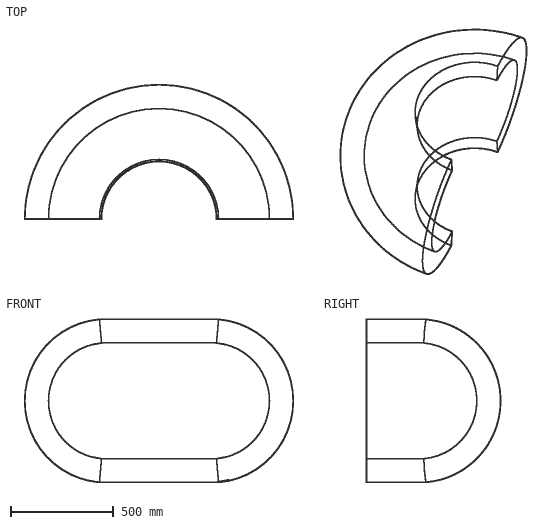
import cadquery as cq
import math

outer_reach = 653.28
height = 793.85
wall = 116.0
opening_tilt = 5.0
sweep_angle = 180.0

edge_angle = 90.0 - opening_tilt
tube_radius = height / 2 / math.sin(math.radians(edge_angle))
bore_radius = tube_radius - wall
tube_centre = outer_reach - tube_radius


def section_point(radius, angle):
    """Point (distance from Z axis, height) on the section, angle in degrees from +X."""
    turn = math.radians(angle)
    return tube_centre + radius * math.cos(turn), radius * math.sin(turn)


def shell_section():
    """C-shaped section in the XZ plane: two concentric arcs joined by radial edges."""
    return (
        cq.Workplane("XZ")
        .moveTo(*section_point(tube_radius, -edge_angle))
        .threePointArc(section_point(tube_radius, 0), section_point(tube_radius, edge_angle))
        .lineTo(*section_point(bore_radius, edge_angle))
        .threePointArc(section_point(bore_radius, 0), section_point(bore_radius, -edge_angle))
        .close()
    )


result = shell_section().revolve(sweep_angle, (0, 0), (0, 1))